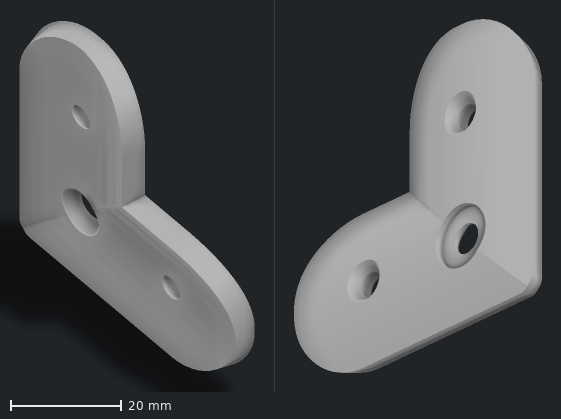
import cadquery as cq
import math


inner_radius = 42.5
thickness = 4.5
middle_width = 30.0
outer_radius = inner_radius + thickness
middle_radius = inner_radius + thickness / 2
half_angle = math.asin(middle_width / 2 / middle_radius)
outer_half_width = outer_radius * math.sin(half_angle)

arm_length = 43.0
end_round = 15.0
heel_round = 3.0

small_hole_diameter = 5.0
small_hole_distance = 25.0
large_hole_diameter = 6.0
large_countersink_diameter = 10.0
small_countersink_diameter = 8.5
counterbore_diameter = 12.5
counterbore_depth = 1.75
countersink_depth = 2.0

axis_y = -inner_radius
clearance = 1.0


def section_point(radius, angle):
    """Point of the arm section, with the angle measured from the +Y direction."""
    return (radius * math.sin(angle), axis_y + radius * math.cos(angle))


def end_corner_cutter():
    """Material outside the rounded +X corner of the arm end; its depth runs along the radial side wall."""
    wall_direction = (math.sin(half_angle), math.cos(half_angle), 0)
    corner = cq.Plane(origin=(0, axis_y, arm_length), xDir=(0, 0, 1), normal=wall_direction)
    arc_inset = end_round * (1 - math.sqrt(0.5))
    return (
        cq.Workplane(corner)
        .workplane(offset=inner_radius * math.cos(half_angle) - clearance)
        .moveTo(-end_round, 0)
        .threePointArc((-arc_inset, -arc_inset), (0, -end_round))
        .lineTo(clearance, -end_round)
        .lineTo(clearance, clearance)
        .lineTo(-end_round, clearance)
        .close()
        .extrude(outer_radius - inner_radius * math.cos(half_angle) + 2 * clearance)
    )


def upright_arm():
    """Arm along +Z with radial side walls, a rounded end and a mitred lower end."""
    arm = (
        cq.Workplane("XY", origin=(0, 0, -outer_half_width))
        .moveTo(*section_point(inner_radius, -half_angle))
        .threePointArc(section_point(inner_radius, 0), section_point(inner_radius, half_angle))
        .lineTo(*section_point(outer_radius, half_angle))
        .threePointArc(section_point(outer_radius, 0), section_point(outer_radius, -half_angle))
        .close()
        .extrude(arm_length + outer_half_width)
    )
    corner = end_corner_cutter()
    arm = arm.cut(corner).cut(corner.mirror("YZ"))

    reach = outer_half_width + clearance
    below_mitre = (
        cq.Workplane("XZ")
        .polyline([(-reach, -reach), (reach, -reach), (reach, reach)])
        .close()
        .extrude(outer_radius, both=True)
    )
    return arm.cut(below_mitre)


def plate():
    """Both arms joined, with the outer heel corner rounded."""
    upright = upright_arm()
    level = upright.mirror("XY").rotate((0, 0, 0), (0, 1, 0), -90)
    heel_edge = cq.selectors.NearestToPointSelector((-outer_half_width, 0, -outer_half_width))
    return upright.union(level).edges(heel_edge).fillet(heel_round)


def cylinder(x, z, diameter, start, end):
    """Cylinder along Y between two Y positions."""
    return (
        cq.Workplane("XZ", origin=(x, end, z))
        .circle(diameter / 2)
        .extrude(end - start)
    )


def countersink(x, z, mouth_diameter, bore_diameter, mouth, direction):
    """Cone along +Y or -Y that narrows from the mouth diameter at Y = mouth to the bore diameter."""
    cone = cq.Solid.makeCone(
        mouth_diameter / 2,
        bore_diameter / 2,
        countersink_depth,
        pnt=cq.Vector(x, mouth, z),
        dir=cq.Vector(0, direction, 0),
    )
    return cq.Workplane(cone)


def small_hole(x, z):
    """Through hole countersunk from the convex side."""
    bore = cylinder(x, z, small_hole_diameter, -thickness, thickness)
    sink = countersink(x, z, small_countersink_diameter, small_hole_diameter, thickness, -1)
    return bore.union(sink)


def large_hole():
    """Through hole countersunk from the concave side and counterbored from the convex side."""
    bore = cylinder(0, 0, large_hole_diameter, -thickness, thickness)
    mouth = cylinder(0, 0, large_countersink_diameter, -thickness, 0)
    sink = countersink(0, 0, large_countersink_diameter, large_hole_diameter, 0, 1)
    counterbore = cylinder(0, 0, counterbore_diameter, thickness - counterbore_depth, thickness + clearance)
    return bore.union(mouth).union(sink).union(counterbore)


result = (
    plate()
    .cut(small_hole(small_hole_distance, 0))
    .cut(small_hole(0, small_hole_distance))
    .cut(large_hole())
)